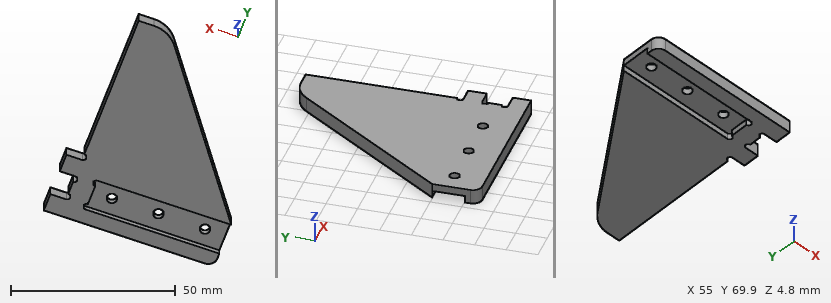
import cadquery as cq

length_x = 55.0
length_y = 69.9
thickness = 4.8

tab_length = 5.0
shoulder_x = length_x - tab_length
slope_start_y = 15.0
slope_top_x = 40.0
top_radius = 10.0
corner_radius = 3.0

lower_tab_top = 5.9
upper_tab_bottom = 14.05
upper_tab_top = 20.0
relief_radius = 1.0

hole_diameter = 3.15
hole_count = 3
hole_pitch = 15.0
first_hole_x = 6.6
slot_width = 10.35
slot_depth = 2.3
slot_max_y = slope_start_y
slot_center_y = slot_max_y - slot_width / 2
slot_length = 2 * first_hole_x + (hole_count - 1) * hole_pitch


def make_plate():
    """Tapered plate with two rounded corners and two tabs."""
    plate = (
        cq.Workplane("XY")
        .moveTo(0, 0)
        .lineTo(length_x, 0)
        .lineTo(length_x, lower_tab_top)
        .lineTo(shoulder_x, lower_tab_top)
        .lineTo(shoulder_x, upper_tab_bottom)
        .lineTo(length_x, upper_tab_bottom)
        .lineTo(length_x, upper_tab_top)
        .lineTo(shoulder_x, upper_tab_top)
        .lineTo(shoulder_x, length_y)
        .lineTo(slope_top_x, length_y)
        .lineTo(0, slope_start_y)
        .close()
        .extrude(thickness)
    )
    plate = plate.edges(cq.NearestToPointSelector((0, 0, thickness / 2))).fillet(corner_radius)
    top_corner = cq.NearestToPointSelector((slope_top_x, length_y, thickness / 2))
    return plate.edges(top_corner).fillet(top_radius)


def make_reliefs(points, height):
    """Round corner reliefs, rising from the underside."""
    return cq.Workplane("XY").pushPoints(points).circle(relief_radius).extrude(height)


def make_tab_reliefs():
    """Reliefs at the inner corners of the tabs, each tangent to a tab side."""
    points = [
        (shoulder_x, lower_tab_top + relief_radius),
        (shoulder_x, upper_tab_bottom - relief_radius),
        (shoulder_x, upper_tab_top + relief_radius),
    ]
    return make_reliefs(points, thickness)


def make_slot():
    """Blind slot open at the -X edge, with reliefs in its two inner corners."""
    slot = (
        cq.Workplane("XY")
        .center(slot_length / 2, slot_center_y)
        .rect(slot_length, slot_width)
        .extrude(slot_depth)
    )
    relief_offset = slot_width / 2 - relief_radius
    points = [(slot_length, slot_center_y + side * relief_offset) for side in (-1, 1)]
    return slot.union(make_reliefs(points, slot_depth))


def make_holes():
    """Through holes on the centre line of the slot."""
    points = [(first_hole_x + i * hole_pitch, slot_center_y) for i in range(hole_count)]
    return cq.Workplane("XY").pushPoints(points).circle(hole_diameter / 2).extrude(thickness)


result = make_plate().cut(make_tab_reliefs()).cut(make_slot()).cut(make_holes())